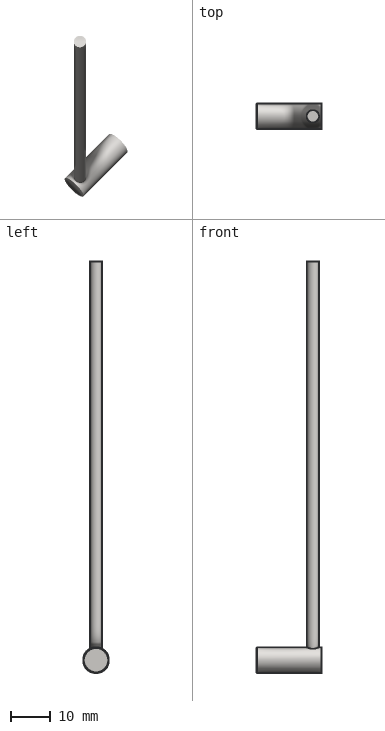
import cadquery as cq

barrel_diameter = 6.5
barrel_length = 16.4
barrel_chamfer = 0.2

overall_height = 103.5
rod_diameter = 3.1
rod_end_offset = 2.2

barrel_radius = barrel_diameter / 2
rod_x = barrel_length - rod_end_offset
rod_length = overall_height - barrel_radius

barrel = (
    cq.Workplane("YZ")
    .circle(barrel_radius)
    .extrude(barrel_length)
    .faces("<X")
    .chamfer(barrel_chamfer)
)

rod = (
    cq.Workplane("XY")
    .center(rod_x, 0)
    .circle(rod_diameter / 2)
    .extrude(rod_length)
)

result = barrel.union(rod)